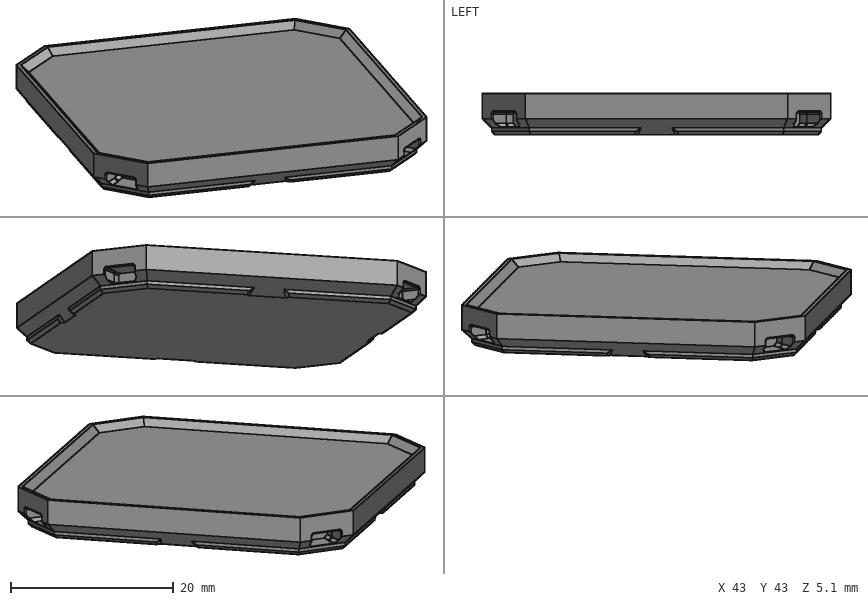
import cadquery as cq
import math

side = 43.0
height = 5.1
corner_cut = 5.35
wall_base = 2.0

rim_width = 0.5
recess_depth = 0.9

lip_height = 0.85
lip_chamfer = 0.45
lip_inset = wall_base - lip_height
lip_gap = 3.85

socket_width = 4.1
socket_floor = 1.0
socket_roof = 2.8
socket_floor_edge = 0.45
socket_roof_edge = 0.2
socket_flare = 0.17
socket_neck = 2.45
socket_depth = 3.83
socket_undercut = 0.15

repeat_angles = (0, 90, 180, 270)
root_two = math.sqrt(2)


def loft_between(low, high):
    """Straight-sided solid between two closed outlines."""
    return cq.Workplane(cq.Solid.makeLoft([low.val(), high.val()], True))


def turned(shape, angle):
    """Shape rotated about the vertical axis of the tile."""
    return shape.rotate((0, 0, 0), (0, 0, 1), angle)


def tile_outline(inset, z):
    """Outline of the tile at height z, offset evenly inwards by inset."""
    half = side / 2 - inset
    short = half - corner_cut + inset * (2 - root_two)
    points = [
        (half, -short), (half, short), (short, half), (-short, half),
        (-half, short), (-half, -short), (-short, -half), (short, -half),
    ]
    return cq.Workplane("XY", origin=(0, 0, z)).polyline(points).close()


def tile_prism(inset, z_low, z_high):
    return tile_outline(inset, z_low).extrude(z_high - z_low)


def tile_frustum(inset_low, z_low, inset_high, z_high):
    """Solid between two tile outlines of different size."""
    return loft_between(tile_outline(inset_low, z_low), tile_outline(inset_high, z_high))


def make_body():
    wall = tile_prism(0, wall_base, height)
    slope = tile_frustum(wall_base, 0, 0, wall_base)
    recess_inset = rim_width + recess_depth
    recess = tile_frustum(recess_inset, height - recess_depth, rim_width, height)
    return wall.union(slope).cut(recess)


def lip_gap_outline(z):
    """Trapezoid at height z on the -Y side, narrowing at 45 degrees towards the inside."""
    inner_half = lip_gap / 2 + root_two * (lip_height - z) + lip_inset - wall_base
    outer_half = inner_half + wall_base
    outer_y = -side / 2
    inner_y = outer_y + wall_base
    points = [
        (-outer_half, outer_y), (outer_half, outer_y),
        (inner_half, inner_y), (-inner_half, inner_y),
    ]
    return cq.Workplane("XY", origin=(0, 0, z)).polyline(points).close()


def make_lip_gap():
    return loft_between(lip_gap_outline(0), lip_gap_outline(lip_height))


def make_lip():
    band = tile_prism(lip_inset, lip_chamfer, lip_height)
    foot = tile_frustum(lip_inset + lip_chamfer, 0, lip_inset, lip_chamfer)
    lip = band.union(foot)
    gap = make_lip_gap()
    for angle in repeat_angles:
        lip = lip.cut(turned(gap, angle))
    return lip


def socket_section(depth, side_growth=0, outline_growth=0):
    """Chamfered rectangle at a depth behind a corner face turned towards -Y.

    side_growth widens it, outline_growth offsets the whole outline outwards.
    """
    face_distance = (side - corner_cut) / root_two
    half_width = socket_width / 2 + side_growth + outline_growth
    floor = socket_floor - outline_growth
    roof = socket_roof + outline_growth
    edge_growth = outline_growth * (2 - root_two)
    floor_edge = socket_floor_edge + edge_growth
    roof_edge = socket_roof_edge + edge_growth
    points = [
        (half_width, floor + floor_edge), (half_width, roof - roof_edge),
        (half_width - roof_edge, roof), (roof_edge - half_width, roof),
        (-half_width, roof - roof_edge), (-half_width, floor + floor_edge),
        (floor_edge - half_width, floor), (half_width - floor_edge, floor),
    ]
    return cq.Workplane("XZ", origin=(0, depth - face_distance, 0)).polyline(points).close()


def make_socket():
    """Socket cutter for the corner between the -X and -Y sides."""
    throat = socket_section(socket_flare)
    flare = loft_between(socket_section(0, outline_growth=socket_flare), throat)
    neck = throat.extrude(socket_flare - socket_neck)
    chamber_start = socket_section(socket_neck, side_growth=socket_undercut)
    chamber = chamber_start.extrude(socket_neck - socket_depth)
    return turned(flare.union(neck).union(chamber), -45)


result = make_body().union(make_lip())
socket = make_socket()
for angle in repeat_angles:
    result = result.cut(turned(socket, angle))